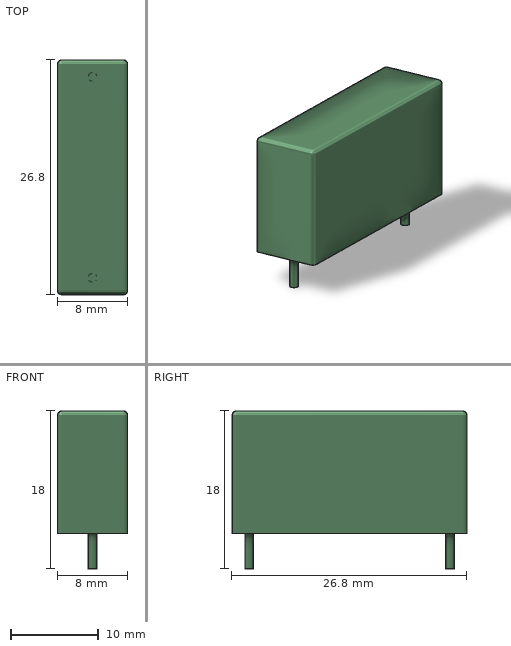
import cadquery as cq

body_width = 8.0
body_length = 26.8
body_height = 14.0
edge_radius = 0.5

lead_diameter = 1.0
lead_length = 4.02
lead_spacing = 22.91


def make_body():
    """Block standing on Z = 0 with every edge rounded except the bottom ones."""
    block = cq.Workplane("XY").box(
        body_width, body_length, body_height, centered=(True, True, False)
    )
    return block.edges("|Z or >Z").fillet(edge_radius)


def make_leads():
    """Two straight leads hanging from the underside, spaced along Y."""
    lead_places = [(0, -lead_spacing / 2), (0, lead_spacing / 2)]
    return (
        cq.Workplane("XY")
        .pushPoints(lead_places)
        .circle(lead_diameter / 2)
        .extrude(-lead_length)
    )


result = make_body().union(make_leads())